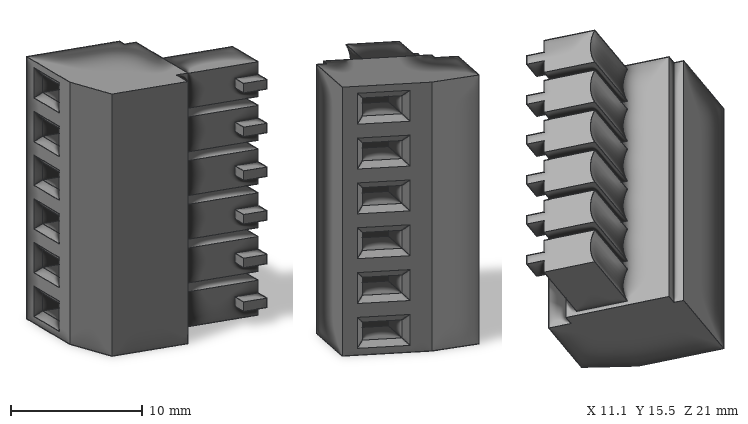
import cadquery as cq
import math

height = 21.0
position_count = 6
pitch = height / position_count

housing_width = 11.1
housing_depth = 8.0
bevel_start_x = 7.04
bevel_depth = 1.47
shoulder_left_x = 0.8
shoulder_right_x = 9.28
shoulder_depth = 0.99
shoulder_back_y = housing_depth + shoulder_depth

total_depth = 15.5
finger_left_x = 4.22
finger_right_x = 8.4
finger_height = 2.8
hollow_depth = 0.35

tab_reach = 1.43
tab_depth = 2.02
tab_height = 0.75

entry_center_x = 3.25
mouth_width = 4.12
mouth_height = 2.42
mouth_inset = 0.5
mouth_depth = 0.48
socket_width = mouth_width - 2 * mouth_inset
socket_height = mouth_height - 2 * mouth_inset
socket_depth = 4.2


def make_housing():
    """Bevelled housing with the narrower shoulder at its back."""
    profile = [
        (0, 0),
        (bevel_start_x, 0),
        (housing_width, bevel_depth),
        (housing_width, housing_depth),
        (shoulder_right_x, housing_depth),
        (shoulder_right_x, shoulder_back_y),
        (shoulder_left_x, shoulder_back_y),
        (shoulder_left_x, housing_depth),
        (0, housing_depth),
    ]
    return cq.Workplane("XY").polyline(profile).close().extrude(height / 2, both=True)


def make_finger(center_z):
    """Finger with a concave left side and a latch tab on the right."""
    half_height = finger_height / 2
    finger = (
        cq.Workplane("XZ", origin=(0, total_depth, center_z))
        .moveTo(finger_left_x, half_height)
        .lineTo(finger_right_x, half_height)
        .lineTo(finger_right_x, -half_height)
        .lineTo(finger_left_x, -half_height)
        .threePointArc((finger_left_x + hollow_depth, 0), (finger_left_x, half_height))
        .close()
        .extrude(total_depth - shoulder_back_y)
    )
    tab = cq.Workplane("XY").box(tab_reach, tab_depth, tab_height, centered=(False, False, True))
    return finger.union(tab.translate((finger_right_x, total_depth - tab_depth, center_z)))


def make_wire_entry(center_z):
    """Solid to remove for one wire entry: tapered mouth plus straight socket."""
    taper = math.degrees(math.atan2(mouth_inset, mouth_depth))
    mouth = (
        cq.Workplane("XZ", origin=(entry_center_x, 0, center_z))
        .rect(mouth_width, mouth_height)
        .extrude(-mouth_depth, taper=taper)
    )
    socket = (
        cq.Workplane("XZ", origin=(entry_center_x, mouth_depth, center_z))
        .rect(socket_width, socket_height)
        .extrude(-socket_depth)
    )
    return mouth.union(socket)


result = make_housing()
for index in range(position_count):
    position_z = (index + 0.5) * pitch - height / 2
    result = result.union(make_finger(position_z))
    result = result.cut(make_wire_entry(position_z))